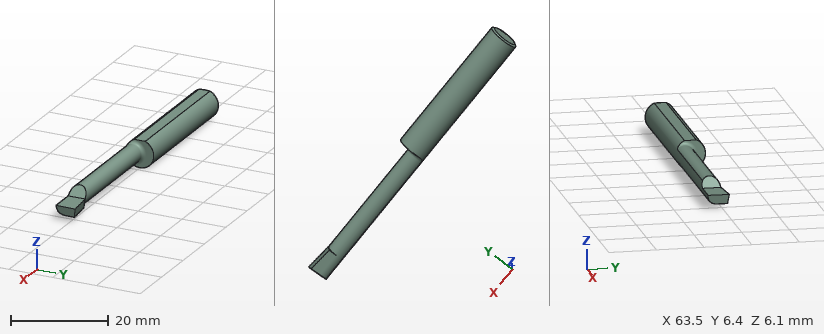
import cadquery as cq
import math

total_length = 63.5

shank_radius = 3.2
shank_length = 30.6
shank_flat_height = 2.9
rear_chamfer_length = 0.3
rear_chamfer_depth = 0.45

neck_radius = 2.05
neck_top_y = 0.7
neck_center_y = neck_top_y - neck_radius
shoulder_fillet = 0.75

rake_start_x = 57.65
head_start_y = 0.75
tip_y = 1.3
lead_setback = 0.2
front_clearance = math.radians(10)
side_relief = 0.3


def x_cylinder(radius, start_x, end_x, center_y=0.0):
    """Solid cylinder along X."""
    section = cq.Workplane("YZ", origin=(start_x, center_y, 0)).circle(radius)
    return section.extrude(end_x - start_x)


def make_shank():
    """Cylinder with a beveled rear edge and a clamping flat on top."""
    shank = x_cylinder(shank_radius, 0, shank_length)
    shank = shank.faces("<X").chamfer(rear_chamfer_length, rear_chamfer_depth)
    clamp_limit = cq.Workplane("XY").box(
        shank_length,
        2 * shank_radius,
        shank_radius + shank_flat_height,
        centered=(False, True, False),
    )
    return shank.intersect(clamp_limit.translate((0, 0, -shank_radius)))


def make_neck():
    """Eccentric revolved neck with a concave shoulder and a 45 degree run-out to the rake face."""
    fillet_end_x = shank_length + shoulder_fillet
    profile = (
        cq.Workplane("XY", origin=(0, neck_center_y, 0))
        .moveTo(shank_length, 0)
        .lineTo(shank_length, neck_radius + shoulder_fillet)
        .radiusArc((fillet_end_x, neck_radius), -shoulder_fillet)
        .lineTo(rake_start_x, neck_radius)
        .lineTo(rake_start_x, 0)
        .close()
    )
    neck = profile.revolve(360, (0, 0, 0), (1, 0, 0))
    run_out = (
        cq.Workplane("XZ")
        .polyline([
            (rake_start_x, 0),
            (rake_start_x, shank_radius),
            (rake_start_x - shank_radius, shank_radius),
        ])
        .close()
        .extrude(shank_radius, both=True)
    )
    return neck.cut(run_out)


def make_head():
    """Half-height head, flared to the cutting corner and leaning back below the rake face."""
    front_fall = neck_radius * math.tan(front_clearance)

    def head_outline(setback, relief):
        return [
            (rake_start_x, -shank_radius),
            (total_length - lead_setback - setback, -shank_radius),
            (total_length - setback, tip_y - relief),
            (rake_start_x, head_start_y - relief),
        ]

    head = (
        cq.Workplane("XY")
        .polyline(head_outline(0, 0))
        .close()
        .workplane(offset=-neck_radius)
        .polyline(head_outline(front_fall, side_relief))
        .close()
        .loft(ruled=True)
    )
    envelope = x_cylinder(neck_radius, rake_start_x, total_length, neck_center_y)
    flank_side = cq.Workplane("XY", origin=(rake_start_x, neck_center_y, 0)).box(
        total_length - rake_start_x,
        tip_y - neck_center_y,
        2 * neck_radius,
        centered=(False, False, True),
    )
    return head.intersect(envelope.union(flank_side))


stock = x_cylinder(shank_radius, 0, total_length)
tool_end = make_neck().union(make_head()).intersect(stock)
result = make_shank().union(tool_end)